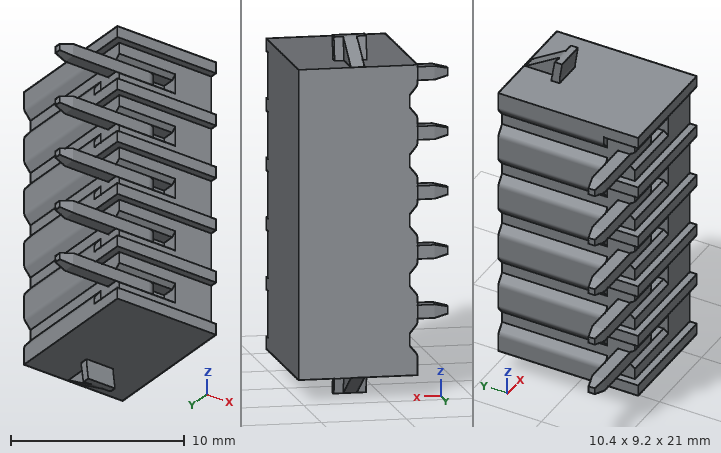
import cadquery as cq
import math


total_height = 21.0
housing_width = 7.0
housing_depth = 9.2

pin_count = 5
rib_thickness = 0.74
housing_height = 18.23
pitch = (housing_height - rib_thickness) / pin_count
cell_height = pitch - rib_thickness
pin_levels = [(i - (pin_count - 1) / 2) * pitch for i in range(pin_count)]

recess_depth = 0.46
side_recess_end = 2.27

groove_floor_half = 0.35
groove_corner_half = 0.914
groove_edge_radius = 0.45

pin_size = 0.8
pin_front = 0.78
pin_back = pin_front + pin_size
pin_reach = 3.4
pin_leg_side = 3.4
pin_leg_end = housing_depth / 2
pin_bend_radius = 0.6
tip_length = 0.82
tip_size = 0.42

latch_width = 1.9
latch_center = housing_width / 2
latch_height = (total_height - housing_height) / 2
hook_front = 6.4
hook_foot_front = 6.57
hook_foot_height = 0.25
hook_back_top = 6.89
hook_back_foot = 7.12
gusset_width = 0.8
gusset_toe = 9.11
crest_start = 6.72
crest_radius = 0.48
gusset_angle = math.radians(31.4)

slot_end = latch_center + latch_width / 2
slot_mouth_height = 1.3


def box(x_range, y_range, z_range):
    """Box that fills the given (start, end) ranges."""
    size = [end - start for start, end in (x_range, y_range, z_range)]
    corner = (x_range[0], y_range[0], z_range[0])
    return cq.Workplane("XY").box(*size, centered=False).translate(corner)


def make_pin(level):
    """L-shaped pin with a tapered tip at its free end."""
    half = pin_size / 2
    z_range = (level - half, level + half)
    bar = box((tip_length - pin_reach, pin_leg_side), (pin_front, pin_back), z_range)
    leg = box((pin_leg_side - pin_size, pin_leg_side), (pin_front, pin_leg_end), z_range)
    bent = bar.union(leg).edges("|Z and >X and <Y").fillet(pin_bend_radius)
    tip = (
        cq.Workplane("YZ", origin=(tip_length - pin_reach, pin_front + half, level))
        .rect(pin_size, pin_size)
        .workplane(offset=-tip_length)
        .rect(tip_size, tip_size)
        .loft()
    )
    return bent.union(tip)


def make_recess(level):
    """Space between two ribs: shallow on the front, and round the corner onto the side."""
    z_range = (level - cell_height / 2, level + cell_height / 2)
    front = box((0, housing_width), (0, recess_depth), z_range)
    side = box((0, recess_depth), (0, side_recess_end), z_range)
    return front.union(side)


def make_groove(level):
    """Groove along the side face: flat floor, sloped walls and rounded outer edges."""
    wall_run = groove_corner_half - groove_floor_half
    wall_length = math.hypot(recess_depth, wall_run)
    turn = math.atan2(recess_depth, wall_run)
    tangent = groove_edge_radius * math.tan(turn / 2)
    lip_half = groove_corner_half + tangent
    round_x = tangent * recess_depth / wall_length
    round_half = groove_corner_half - tangent * wall_run / wall_length
    middle_x = groove_edge_radius * (1 - math.cos(turn / 2))
    middle_half = lip_half - groove_edge_radius * math.sin(turn / 2)
    return (
        cq.Workplane("XZ", origin=(0, 0, level))
        .moveTo(0, -lip_half)
        .threePointArc((middle_x, -middle_half), (round_x, -round_half))
        .lineTo(recess_depth, -groove_floor_half)
        .lineTo(recess_depth, groove_floor_half)
        .lineTo(round_x, round_half)
        .threePointArc((middle_x, middle_half), (0, lip_half))
        .close()
        .extrude(-housing_depth)
    )


def make_slot(level):
    """Pin slot, open at the side, that narrows from its mouth to the pin."""
    mouth_half = slot_mouth_height / 2
    half = pin_size / 2
    return (
        cq.Workplane("YZ")
        .polyline([
            (recess_depth, -mouth_half),
            (pin_front, -half),
            (pin_back, -half),
            (pin_back, half),
            (pin_front, half),
            (recess_depth, mouth_half),
        ])
        .close()
        .extrude(slot_end)
        .translate((0, 0, level))
    )


def make_top_latch():
    """Latch on the top face: the hooked plate and the gusset share a rounded crest."""
    crest_end = crest_start + crest_radius * math.sin(gusset_angle)
    crest_end_height = latch_height - crest_radius * (1 - math.cos(gusset_angle))
    crest_middle = crest_start + crest_radius * math.sin(gusset_angle / 2)
    crest_middle_height = latch_height - crest_radius * (1 - math.cos(gusset_angle / 2))
    full_width = (
        cq.Workplane("YZ", origin=(latch_center, 0, housing_height / 2))
        .moveTo(hook_foot_front, 0)
        .lineTo(hook_foot_front, hook_foot_height)
        .lineTo(hook_front, latch_height)
        .lineTo(crest_start, latch_height)
        .threePointArc((crest_middle, crest_middle_height), (crest_end, crest_end_height))
        .lineTo(gusset_toe, 0)
        .close()
        .extrude(latch_width / 2, both=True)
    )
    gusset_region = box(
        (latch_center - gusset_width / 2, latch_center + gusset_width / 2),
        (hook_front, gusset_toe),
        (housing_height / 2, total_height / 2),
    )
    plate_region = (
        cq.Workplane("YZ", origin=(latch_center, 0, housing_height / 2))
        .polyline([
            (hook_front, 0),
            (hook_back_foot, 0),
            (hook_back_top, latch_height),
            (hook_front, latch_height),
        ])
        .close()
        .extrude(latch_width / 2, both=True)
    )
    return full_width.intersect(plate_region.union(gusset_region))


def make_housing(pins):
    """Ribbed housing with a latch at each end and a socket for every pin."""
    half = housing_height / 2
    body = box((0, housing_width), (0, housing_depth), (-half, half))
    for level in pin_levels:
        body = body.cut(make_recess(level)).cut(make_groove(level)).cut(make_slot(level))
    for pin in pins:
        body = body.cut(pin)
    top_latch = make_top_latch()
    return body.union(top_latch).union(top_latch.mirror("XY"))


pins = [make_pin(level) for level in pin_levels]
housing = make_housing(pins)

result = cq.Compound.makeCompound([housing.val(), *[pin.val() for pin in pins]])